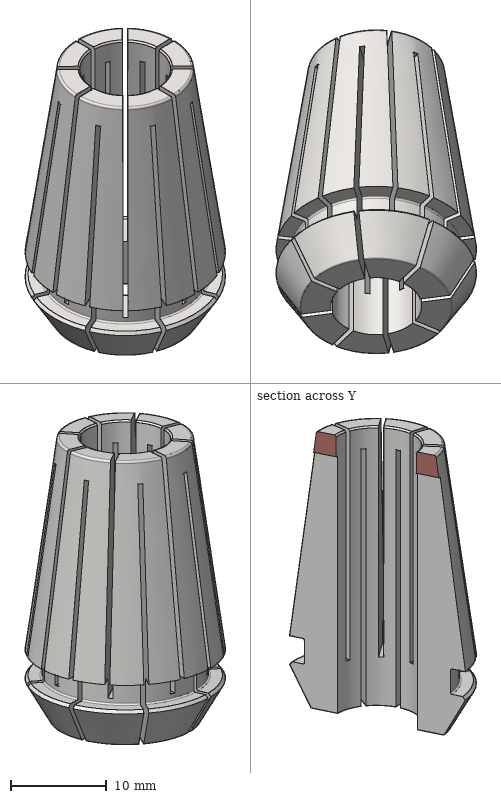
import cadquery as cq
import math

height = 31.5
outer_radius = 10.5
bore_radius = 4.75

taper_bottom = 7.65
taper_angle = 8.0

neck_radius = 8.73
neck_fillet = 0.2

collar_top = 4.8
collar_rim = 4.45
collar_angle = 30.0
collar_chamfer = 0.3

top_fillet = 0.28
bottom_fillet = 0.13
bore_chamfer = 0.2

slots_per_set = 8
slot_width = 0.55
lower_slot_end = 29.0
upper_slot_end = 5.48

top_radius = outer_radius - (height - taper_bottom) * math.tan(math.radians(taper_angle))
bottom_radius = outer_radius - collar_rim * math.tan(math.radians(collar_angle))


def make_body():
    """Revolve the solid outer shape of the collet around Z."""
    profile = (
        cq.Workplane("XZ")
        .lineTo(bottom_radius, 0)
        .lineTo(outer_radius, collar_rim)
        .lineTo(outer_radius - collar_chamfer, collar_top)
        .lineTo(neck_radius, collar_top)
        .lineTo(neck_radius, taper_bottom)
        .lineTo(outer_radius, taper_bottom)
        .lineTo(top_radius, height)
        .lineTo(0, height)
        .close()
    )
    body = profile.revolve(360, (0, 0), (0, 1))
    body = body.faces(">Z").edges().fillet(top_fillet)
    body = body.faces("<Z").edges().fillet(bottom_fillet)
    neck_corners = body.faces("%CYLINDER").edges("%CIRCLE")
    return neck_corners.fillet(neck_fillet)


def cut_bore(body):
    """Drill the through bore and chamfer its upper mouth."""
    bored = body.cut(cq.Workplane("XY").circle(bore_radius).extrude(height))
    upper_mouth = bored.faces(">Z").edges(cq.selectors.RadiusNthSelector(0))
    return upper_mouth.chamfer(bore_chamfer)


def make_slots(bottom, top, first_angle):
    """Radial saw cuts from the bore outward, spaced evenly around the axis."""
    slots = cq.Workplane("XY")
    blade = (
        cq.Workplane("XY")
        .workplane(offset=bottom)
        .rect(2 * outer_radius + slot_width, slot_width)
        .extrude(top - bottom)
    )
    for index in range(slots_per_set // 2):
        angle = first_angle + index * 360 / slots_per_set
        slots = slots.union(blade.rotate((0, 0, 0), (0, 0, 1), angle))
    return slots


lower_slots = make_slots(0, lower_slot_end, 0)
upper_slots = make_slots(upper_slot_end, height, 180 / slots_per_set)

result = cut_bore(make_body()).cut(lower_slots).cut(upper_slots)